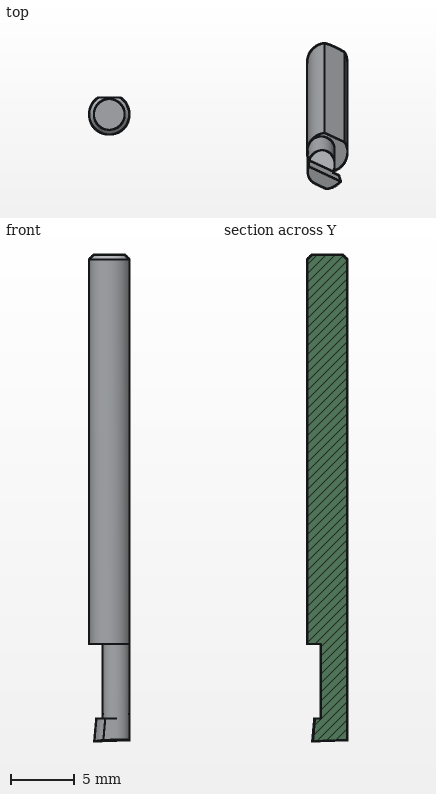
import cadquery as cq
import math

total_length = 38.1
shank_diameter = 3.175
width_across_flat = 2.92
top_chamfer = 0.38

reach = 7.62
neck_diameter = 2.12

cut_face_length = 2.17
cut_runout_angle = 42.0

head_length = 1.81
tip_x = -1.18
heel_x = -0.78
heel_y = -0.77
knee_x = -0.47
flank_bulge = 0.04

side_clearance = 5.0
end_clearance_across = 2.0
end_clearance_back = 5.0

shank_radius = shank_diameter / 2
neck_radius = neck_diameter / 2
neck_x = shank_radius - neck_radius
head_back_y = -neck_radius
cut_rise = shank_radius * math.tan(math.radians(cut_runout_angle))


def make_shank():
    """Round shank with a chamfered top and one full-length flat on +Y."""
    shank = (
        cq.Workplane("XY", origin=(0, 0, reach))
        .circle(shank_radius)
        .extrude(total_length - reach)
        .faces(">Z")
        .chamfer(top_chamfer)
    )
    flat_envelope = cq.Workplane("XY", origin=(0, -shank_radius, 0)).box(
        shank_diameter, width_across_flat, total_length, centered=(True, False, False)
    )
    return shank.intersect(flat_envelope)


def make_neck():
    """Thin eccentric neck reaching down to the tip."""
    return cq.Workplane("XY", origin=(neck_x, 0, 0)).circle(neck_radius).extrude(reach)


def head_outline(plane, side_shift):
    """Head section, its -X flank moved toward the neck by side_shift."""
    flank_length = math.hypot(heel_x - tip_x, heel_y)
    bulge_x = (tip_x + heel_x) / 2 + flank_bulge * heel_y / flank_length
    bulge_y = heel_y / 2 - flank_bulge * (heel_x - tip_x) / flank_length
    return (
        plane.moveTo(tip_x + side_shift, 0)
        .threePointArc((bulge_x + side_shift, bulge_y), (heel_x + side_shift, heel_y))
        .lineTo(knee_x + side_shift, head_back_y)
        .lineTo(neck_x, head_back_y)
        .lineTo(neck_x, 0)
        .close()
    )


def make_head():
    """Cutting head on the -X side of the neck, widening toward the tip."""
    top_shift = head_length * math.tan(math.radians(side_clearance))
    bottom = head_outline(cq.Workplane("XY"), 0)
    return head_outline(bottom.workplane(offset=head_length), top_shift).loft(ruled=True)


def make_half_cut():
    """Removes the +Y half at the tip, sloping out above the cutting face."""
    return (
        cq.Workplane("YZ")
        .lineTo(0, cut_face_length)
        .lineTo(shank_radius, cut_face_length + cut_rise)
        .lineTo(shank_radius, 0)
        .close()
        .extrude(shank_radius, both=True)
    )


def make_end_relief():
    """Block below the end face, which rises from the tip toward +X and -Y."""
    block_size = 2 * shank_diameter
    block = cq.Workplane("XY").box(block_size, block_size, block_size, centered=(True, True, False))
    return (
        block.translate((0, 0, -block_size))
        .rotate((0, 0, 0), (1, 0, 0), -end_clearance_back)
        .rotate((0, 0, 0), (0, 1, 0), -end_clearance_across)
        .translate((tip_x, 0, 0))
    )


blank = make_shank().union(make_neck()).union(make_head())
result = blank.cut(make_half_cut()).cut(make_end_relief())